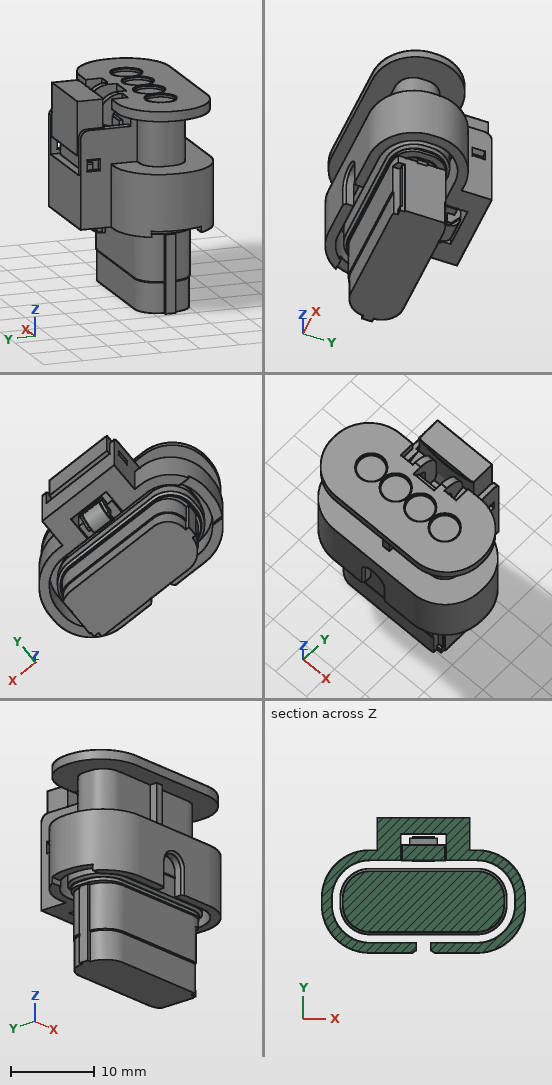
import cadquery as cq
import math

TOTAL_HEIGHT = 26.1
STEP_Z = 3.97
PLUG_TOP = 9.9
PLATE_BOTTOM = 10.05
COLLAR_BOTTOM = 10.35
CORE_BOTTOM = 10.5
COLLAR_TOP = 18.22
BLOCK_TOP = 22.68
FLANGE_BOTTOM = 24.77
FLANGE_TOP = 26.0

FLANGE_HALF_WIDTH = 12.08
FLANGE_HALF_DEPTH = 5.75
FLANGE_RADIUS = 5.53
COLLAR_WIDTH = 24.45
COLLAR_HALF_WIDTH = COLLAR_WIDTH / 2
COLLAR_HALF_DEPTH = 6.19
COLLAR_RADIUS = 5.8
NECK_HALF_WIDTH = 8.75
NECK_HALF_DEPTH = 2.82
NECK_RADIUS = 2.35
PLATE_HALF_WIDTH = 9.47
PLATE_HALF_DEPTH = 3.52
PLATE_RADIUS = 2.9
GROOVE_HALF_WIDTH = 8.65
GROOVE_HALF_DEPTH = 2.65
GROOVE_RADIUS = 2.22

RIB_WIDTH = 1.05
RIB_FRONT = -3.85

WALL = 1.25
CORE_INSET = 2.22
CORE_CHAMFER = 0.35
CORE_LEDGE_Z = 13.4
CORE_LEDGE = 0.31
CAVITY_TOP = 16.18
ARCH_HALF_WIDTH = 1.88
ARCH_TOP = 15.5
ARCH_CHAMFER = 0.31
NOTCH_HALF_DEPTH = 3.18
NOTCH_TOP = 11.12

PLUG_LEFT = -9.08
PLUG_RIGHT = 8.12
PLUG_HALF_DEPTH = 3.5
PLUG_RADIUS = 2.9
STEP_INSET = 0.1
STEP_HEIGHT = 0.15
RAIL_WIDTH = 1.3
RECESS_LEFT = 7.23
RECESS_WALL = 7.93
RECESS_TOP = 8.65
RECESS_FLOOR = -2.48
RECESS_STEP_Z = 0.75
RECESS_STEP = 0.3
WEB_LENGTH = 0.52
WEB_HEIGHT = 0.42
WEB_HALF_DEPTH = 0.65

SOCKET_COUNT = 4
SOCKET_PITCH = 4.0
SOCKET_RADIUS = 1.95
SOCKET_CHAMFER = 0.13
SOCKET_DEPTH = 0.42

BACK = 10.07
BLOCK_HALF_WIDTH = 5.55
BLOCK_CORNER = 1.05
BAY_HALF_WIDTH = 4.9
WELL_HALF_WIDTH = 4.52
WELL_DROP = 1.3
SLOT_HALF_WIDTH = 2.71
SLOT_FRONT = 4.12
SLOT_BACK = 8.1
WALL_BACK = 3.65
HEAD_HALF_WIDTH = 4.45
HEAD_FRONT = 6.8
HEAD_LIP = 0.1
HEAD_LIP_SAG = 1.17
HEAD_BOTTOM = 19.31
ARM_INNER = 1.67
ARM_OUTER = 2.58
ARM_ROOT_BACK = 4.07
ARM_CENTER_Z = 23.02
ARM_FLAT = 0.15
LEVER_FRONT = 4.9
GUSSET_HALF_WIDTH = 1.57
GUSSET_FRONT = 6.42
GUSSET_HEIGHT = 1.57
HOOK_HALF_WIDTH = 1.3
HOOK_FRONT = 4.85
HOOK_BACK = 7.75
HOOK_TIP_Y = 5.38
HOOK_TIP_BOTTOM = 8.45
HOOK_TIP_TOP = 9.05
HOOK_THROAT_Y = 5.9
HOOK_THROAT_BOTTOM = 9.63
HOOK_THROAT_TOP = 9.74
HOOK_BULGE = (7.1, 9.0)
CHEEK_BACK = 7.62
CHEEK_TIP = (6.37, 8.67)
CHEEK_BOTTOM = 8.72
HOOK_TIE_HEIGHT = 1.3
PANEL_BACK = 9.0
PANEL_HALF_WIDTH = 4.05
TAB_FRONT = 8.1
TAB_TOP = 18.32
TAB_BEVEL = 0.2
WINDOW_FRONT = 7.57
WINDOW_BACK = 9.21
WINDOW_BOTTOM = 17.55
WINDOW_TOP = 19.03
WINDOW_BEVEL = 0.31
BAY_FLOOR = WINDOW_BOTTOM - 0.52


def box(x0, x1, y0, y1, z0, z1):
    return cq.Workplane("XY").box(x1 - x0, y1 - y0, z1 - z0, centered=False).translate((x0, y0, z0))


def rounded(half_width, half_depth, radius, z0, z1, inset=0):
    """Upright prism on the Z axis with round corners, optionally shrunk by an inset."""
    prism = box(inset - half_width, half_width - inset, inset - half_depth, half_depth - inset, z0, z1)
    return prism.edges("|Z").fillet(radius - inset)


def side_prism(points, x0, x1):
    """Prism along X with a straight-sided (Y, Z) profile."""
    return cq.Workplane("YZ").polyline(points).close().extrude(x1 - x0).translate((x0, 0, 0))


def make_flange():
    flange = rounded(FLANGE_HALF_WIDTH, FLANGE_HALF_DEPTH, FLANGE_RADIUS, FLANGE_BOTTOM, FLANGE_TOP)
    notch = box(-WELL_HALF_WIDTH, WELL_HALF_WIDTH, WALL_BACK, BACK, FLANGE_BOTTOM, FLANGE_TOP)
    arm_roots = box(-ARM_OUTER, ARM_OUTER, WALL_BACK, ARM_ROOT_BACK, FLANGE_BOTTOM, FLANGE_TOP)
    flange = flange.cut(notch.cut(arm_roots))
    flange = flange.cut(box(-ARM_INNER, ARM_INNER, NECK_HALF_DEPTH, BACK, FLANGE_BOTTOM, FLANGE_TOP))
    for i in range(SOCKET_COUNT):
        x = (i - (SOCKET_COUNT - 1) / 2) * SOCKET_PITCH
        mouth = cq.Workplane("XY").circle(SOCKET_RADIUS).extrude(-SOCKET_CHAMFER, taper=45)
        socket = cq.Workplane("XY").circle(SOCKET_RADIUS - SOCKET_CHAMFER).extrude(-SOCKET_DEPTH)
        flange = flange.cut(mouth.union(socket).translate((x, 0, FLANGE_TOP)))
    return flange


def make_neck():
    neck = rounded(NECK_HALF_WIDTH, NECK_HALF_DEPTH, NECK_RADIUS, COLLAR_TOP, FLANGE_BOTTOM)
    rib = box(-RIB_WIDTH / 2, RIB_WIDTH / 2, RIB_FRONT, 0, COLLAR_TOP, FLANGE_BOTTOM)
    return neck.union(rib)


def arch_prism(inset, depth, taper=0):
    """Arch-shaped prism going back from the front of the collar and running out below it."""
    half_width = ARCH_HALF_WIDTH - inset
    spring_z = ARCH_TOP - ARCH_HALF_WIDTH
    below = COLLAR_BOTTOM - ARCH_HALF_WIDTH
    return (
        cq.Workplane("XZ", origin=(0, -COLLAR_HALF_DEPTH, 0))
        .moveTo(-half_width, below)
        .lineTo(-half_width, spring_z)
        .threePointArc((0, spring_z + half_width), (half_width, spring_z))
        .lineTo(half_width, below)
        .close()
        .extrude(-depth, taper=taper)
    )


def make_arch():
    """Arched opening through the front wall of the collar, chamfered at its mouth."""
    return arch_prism(ARCH_CHAMFER, WALL).union(arch_prism(0, ARCH_CHAMFER, taper=45))


def make_core():
    """Core inside the collar, chamfered below and stepped in at the ledge."""
    outline = (COLLAR_HALF_WIDTH, COLLAR_HALF_DEPTH, COLLAR_RADIUS)
    ledge_top = CORE_LEDGE_Z + CORE_LEDGE
    lower = rounded(*outline, CORE_BOTTOM, ledge_top, inset=CORE_INSET)
    lower = lower.faces("<Z").chamfer(CORE_CHAMFER).faces(">Z").chamfer(CORE_LEDGE)
    upper = rounded(*outline, CORE_LEDGE_Z, CAVITY_TOP, inset=CORE_INSET + CORE_LEDGE)
    return lower.union(upper)


def make_collar():
    outline = (COLLAR_HALF_WIDTH, COLLAR_HALF_DEPTH, COLLAR_RADIUS)
    notch = box(-COLLAR_HALF_WIDTH, -PLATE_HALF_WIDTH, -NOTCH_HALF_DEPTH, NOTCH_HALF_DEPTH,
                COLLAR_BOTTOM, NOTCH_TOP)
    cavity = rounded(*outline, COLLAR_BOTTOM, CAVITY_TOP, inset=WALL)
    shell = rounded(*outline, COLLAR_BOTTOM, COLLAR_TOP).cut(make_arch()).cut(notch).cut(cavity)
    return shell.union(make_core())


def make_seat():
    """Plate and groove between the collar and the plug, with a small web at the +X end."""
    plate = rounded(PLATE_HALF_WIDTH, PLATE_HALF_DEPTH, PLATE_RADIUS, PLATE_BOTTOM, CORE_BOTTOM)
    groove = rounded(GROOVE_HALF_WIDTH, GROOVE_HALF_DEPTH, GROOVE_RADIUS, PLUG_TOP, PLATE_BOTTOM)
    web = (
        cq.Workplane("XZ")
        .polyline([(PLUG_RIGHT, PLATE_BOTTOM), (PLUG_RIGHT + WEB_LENGTH, PLATE_BOTTOM),
                   (PLUG_RIGHT, PLATE_BOTTOM - WEB_HEIGHT)])
        .close()
        .extrude(WEB_HALF_DEPTH, both=True)
    )
    return plate.union(groove).union(web)


def make_plug():
    """Plug with a thinner tip, a rail at the -X end and a recessed corner at the flat +X end."""
    half_width = (PLATE_HALF_WIDTH - PLUG_LEFT) / 2
    outline = (half_width, PLUG_HALF_DEPTH, PLUG_RADIUS)
    upper = rounded(*outline, STEP_Z - STEP_HEIGHT, PLUG_TOP)
    upper = upper.faces("<Z").edges().chamfer(STEP_HEIGHT, STEP_INSET)
    lower = rounded(*outline, 0, STEP_Z, inset=STEP_INSET)
    plug = upper.union(lower).translate((PLUG_LEFT + half_width, 0, 0))
    plug = plug.union(box(-PLATE_HALF_WIDTH, 0, -RAIL_WIDTH / 2, RAIL_WIDTH / 2, 0, PLUG_TOP))
    plug = plug.cut(box(PLUG_RIGHT, COLLAR_HALF_WIDTH, -PLATE_HALF_DEPTH, PLATE_HALF_DEPTH, 0, PLUG_TOP))
    recess = side_prism(
        [
            (-PLATE_HALF_DEPTH, 0),
            (RECESS_FLOOR - RECESS_STEP, 0),
            (RECESS_FLOOR - RECESS_STEP, RECESS_STEP_Z),
            (RECESS_FLOOR, RECESS_STEP_Z + RECESS_STEP),
            (RECESS_FLOOR, RECESS_TOP),
            (-PLATE_HALF_DEPTH, RECESS_TOP),
        ],
        RECESS_LEFT, PLUG_RIGHT,
    )
    corner = box(RECESS_WALL, PLUG_RIGHT, -PLATE_HALF_DEPTH, RECESS_FLOOR + RECESS_STEP, 0, RECESS_TOP)
    return plug.cut(recess).cut(corner)


def make_block():
    """Latch housing behind the neck and collar, hollowed for the lever."""
    block = box(-BLOCK_HALF_WIDTH, BLOCK_HALF_WIDTH, COLLAR_HALF_DEPTH - WALL, BACK, COLLAR_BOTTOM, BLOCK_TOP)
    block = block.union(box(-BLOCK_HALF_WIDTH, BLOCK_HALF_WIDTH, 0, BACK, COLLAR_TOP, BLOCK_TOP))
    block = block.faces(">Y").edges(">Z").fillet(BLOCK_CORNER)
    block = block.union(box(-BLOCK_HALF_WIDTH, BLOCK_HALF_WIDTH, 0, WALL_BACK, COLLAR_TOP, FLANGE_BOTTOM))
    bay = box(-BAY_HALF_WIDTH, BAY_HALF_WIDTH, HEAD_FRONT, BACK, BAY_FLOOR, BLOCK_TOP)
    well_profile = [(HEAD_FRONT, BLOCK_TOP), (WALL_BACK, BLOCK_TOP), (WALL_BACK, BLOCK_TOP - WELL_DROP)]
    for x0, x1 in ((-WELL_HALF_WIDTH, -SLOT_HALF_WIDTH), (SLOT_HALF_WIDTH, WELL_HALF_WIDTH)):
        block = block.cut(side_prism(well_profile, x0, x1))
    window = (
        cq.Workplane("XZ", origin=(0, WINDOW_FRONT, 0))
        .polyline([(-BLOCK_HALF_WIDTH, WINDOW_BOTTOM), (-BLOCK_HALF_WIDTH, WINDOW_TOP),
                   (-BAY_HALF_WIDTH, WINDOW_TOP - WINDOW_BEVEL), (BAY_HALF_WIDTH, WINDOW_TOP - WINDOW_BEVEL),
                   (BLOCK_HALF_WIDTH, WINDOW_TOP), (BLOCK_HALF_WIDTH, WINDOW_BOTTOM)])
        .close()
        .extrude(WINDOW_FRONT - WINDOW_BACK)
    )
    return block.cut(bay).cut(window)


def make_slot():
    """Vertical opening in which the lever swings."""
    return box(-SLOT_HALF_WIDTH, SLOT_HALF_WIDTH, SLOT_FRONT, SLOT_BACK, PLUG_TOP, BLOCK_TOP)


def make_arm(x0):
    """Quarter-ring hinge arm from the neck wall over to the lever."""
    inner = LEVER_FRONT - WALL_BACK
    outer = FLANGE_TOP - ARM_CENTER_Z
    diagonal = math.sqrt(0.5)
    return (
        cq.Workplane("YZ", origin=(x0, WALL_BACK, ARM_CENTER_Z))
        .moveTo(0, inner)
        .lineTo(0, outer)
        .lineTo(ARM_FLAT, outer)
        .threePointArc((ARM_FLAT + outer * diagonal, outer * diagonal), (ARM_FLAT + outer, 0))
        .lineTo(ARM_FLAT + outer, HEAD_BOTTOM - ARM_CENTER_Z)
        .lineTo(inner, HEAD_BOTTOM - ARM_CENTER_Z)
        .lineTo(inner, 0)
        .threePointArc((inner * diagonal, inner * diagonal), (0, inner))
        .close()
        .extrude(ARM_OUTER - ARM_INNER)
    )


def make_head():
    """Press head with a crescent lip along its front edge, on a panel with a tab at each side."""
    head = box(-HEAD_HALF_WIDTH, HEAD_HALF_WIDTH, HEAD_FRONT, BACK, HEAD_BOTTOM, TOTAL_HEIGHT)
    lip = (
        cq.Workplane("XZ", origin=(0, HEAD_FRONT, 0))
        .moveTo(-HEAD_HALF_WIDTH, TOTAL_HEIGHT)
        .threePointArc((0, TOTAL_HEIGHT - HEAD_LIP_SAG), (HEAD_HALF_WIDTH, TOTAL_HEIGHT))
        .close()
        .extrude(HEAD_LIP)
    )
    panel = box(-PANEL_HALF_WIDTH, PANEL_HALF_WIDTH, HEAD_FRONT, PANEL_BACK, BAY_FLOOR, HEAD_BOTTOM)
    tabs = box(-HEAD_HALF_WIDTH, HEAD_HALF_WIDTH, TAB_FRONT, PANEL_BACK, BAY_FLOOR, TAB_TOP)
    tabs = tabs.faces(">Z").edges("|Y").chamfer(TAB_BEVEL)
    return head.union(lip).union(panel).union(tabs)


def make_lever():
    """Lever bar with its press head, hinge arms and the hook at its lower end."""
    bar = box(-ARM_OUTER, ARM_OUTER, LEVER_FRONT, HEAD_FRONT, COLLAR_BOTTOM, HEAD_BOTTOM)
    hook = (
        cq.Workplane("YZ", origin=(-HOOK_HALF_WIDTH, 0, 0))
        .moveTo(HOOK_FRONT, COLLAR_BOTTOM)
        .lineTo(HOOK_TIP_Y, HOOK_THROAT_TOP)
        .lineTo(HOOK_THROAT_Y, HOOK_THROAT_BOTTOM)
        .lineTo(HOOK_TIP_Y, HOOK_TIP_TOP)
        .lineTo(HOOK_TIP_Y, HOOK_TIP_BOTTOM)
        .threePointArc(HOOK_BULGE, (HOOK_BACK, COLLAR_BOTTOM))
        .close()
        .extrude(2 * HOOK_HALF_WIDTH)
    )
    cheeks = side_prism(
        [
            (HOOK_THROAT_Y, COLLAR_BOTTOM),
            (CHEEK_BACK, COLLAR_BOTTOM),
            CHEEK_TIP,
            (HOOK_THROAT_Y, CHEEK_BOTTOM),
        ],
        -ARM_INNER, ARM_INNER,
    )
    gusset = side_prism(
        [(GUSSET_FRONT, HEAD_BOTTOM), (HEAD_FRONT, HEAD_BOTTOM), (HEAD_FRONT, HEAD_BOTTOM + GUSSET_HEIGHT)],
        -GUSSET_HALF_WIDTH, GUSSET_HALF_WIDTH,
    )
    tie = box(-ARM_INNER, ARM_INNER, HEAD_FRONT, CHEEK_BACK, COLLAR_BOTTOM, COLLAR_BOTTOM + HOOK_TIE_HEIGHT)
    lever = make_head().union(bar).union(hook).union(cheeks).union(tie).union(gusset)
    for x0 in (ARM_INNER, -ARM_OUTER):
        lever = lever.union(make_arm(x0))
    return lever


result = (
    make_neck()
    .union(make_collar())
    .union(make_seat())
    .union(make_plug())
    .union(make_block())
    .union(make_flange())
    .cut(make_slot())
    .union(make_lever())
)